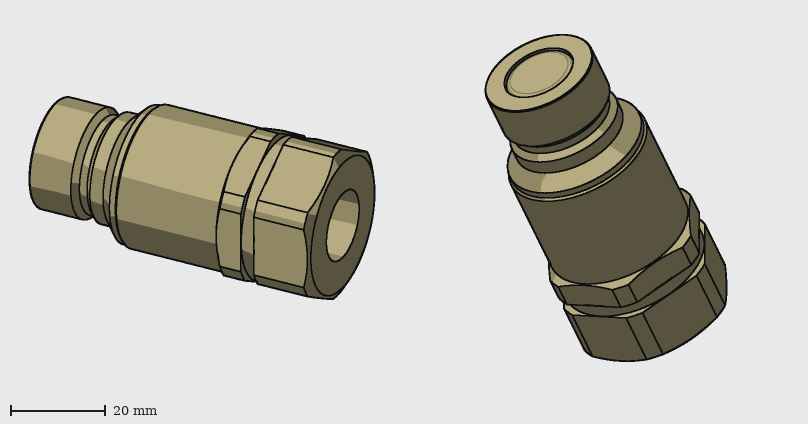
import cadquery as cq
import math


groove_start = 9.9
groove_floor_start = 11.3
groove_floor_end = 13.1
cone_start = 17.5
flange_start = 20.5
body_start = 21.9
body_hex_start = 45.9
body_end = 51.9
adapter_hex_start = 54.9
adapter_end = 68.0

nose_dia = 24.5
nose_tip_dia = 24.12
groove_dia = 21.9
flange_dia = 30.5
body_dia = 31.5
neck_dia = 31.8
bore_dia = 15.65
plunger_dia = 15.4

across_flats = 32.0
across_corners = 35.0
body_hex_face_dia = body_dia
adapter_hex_face_dia = 30.5
hex_chamfer_angle = 30.0

nose_tip_chamfer = 0.25
body_chamfer = (body_dia - flange_dia) / 2
plunger_edge_radius = 1.1
groove_shoulder_end = groove_floor_end + (nose_dia - groove_dia) / 2
plunger_length = body_start


def revolve_about_x(outline):
    """Turn a closed outline of (x, radius) points about the X axis."""
    return cq.Workplane("XY").polyline(outline).close().revolve(360, (0, 0, 0), (1, 0, 0))


def cylinder_along_x(start, end, diameter):
    return cq.Workplane("YZ", origin=(start, 0, 0)).circle(diameter / 2).extrude(end - start)


def chamfered_hexagon(start, end, chamfered_face, face_dia):
    """Hexagon with rounded corners and a conical chamfer running out from one end face."""
    sharp_corner_dia = across_flats / math.cos(math.radians(30))
    hexagon = (
        cq.Workplane("YZ", origin=(start, 0, 0))
        .transformed(rotate=(0, 0, 90))
        .polygon(6, sharp_corner_dia)
        .extrude(end - start)
    )
    radial_depth = (across_corners - face_dia) / 2
    chamfer_length = radial_depth * math.tan(math.radians(hex_chamfer_angle))
    plain_face = end if chamfered_face == start else start
    inward = math.copysign(chamfer_length, plain_face - chamfered_face)
    turned_blank = revolve_about_x([
        (chamfered_face, 0),
        (chamfered_face, face_dia / 2),
        (chamfered_face + inward, across_corners / 2),
        (plain_face, across_corners / 2),
        (plain_face, 0),
    ])
    return hexagon.intersect(turned_blank)


def cut_bore(solid):
    return solid.cut(cylinder_along_x(0, adapter_end, bore_dia))


def make_nose():
    """Front nipple with latching groove, cone and flange."""
    return cut_bore(revolve_about_x([
        (0, 0),
        (0, nose_tip_dia / 2),
        (nose_tip_chamfer, nose_dia / 2),
        (groove_start, nose_dia / 2),
        (groove_floor_start, groove_dia / 2),
        (groove_floor_end, groove_dia / 2),
        (groove_shoulder_end, nose_dia / 2),
        (cone_start, nose_dia / 2),
        (flange_start, flange_dia / 2),
        (body_start, flange_dia / 2),
        (body_start, 0),
    ]))


def make_body():
    """Cylindrical body with its front edge chamfered and a thin hexagon at the rear."""
    barrel = cylinder_along_x(body_start, body_end, body_dia).faces("<X").chamfer(body_chamfer)
    hexagon = chamfered_hexagon(body_hex_start, body_end, body_hex_start, body_hex_face_dia)
    return cut_bore(barrel.union(hexagon))


def make_adapter():
    """Rear adapter: round neck against the body, then the long hexagon."""
    neck = cylinder_along_x(body_end, adapter_hex_start, neck_dia)
    hexagon = chamfered_hexagon(adapter_hex_start, adapter_end, adapter_end, adapter_hex_face_dia)
    return cut_bore(neck.union(hexagon))


def make_plunger():
    """Flat-faced valve plunger, flush with the nose tip and clear of the bore wall."""
    return cylinder_along_x(0, plunger_length, plunger_dia).faces("<X").edges().fillet(plunger_edge_radius)


nose = make_nose()
body = make_body()
adapter = make_adapter()
plunger = make_plunger()

result = cq.Compound.makeCompound([nose.val(), body.val(), adapter.val(), plunger.val()])